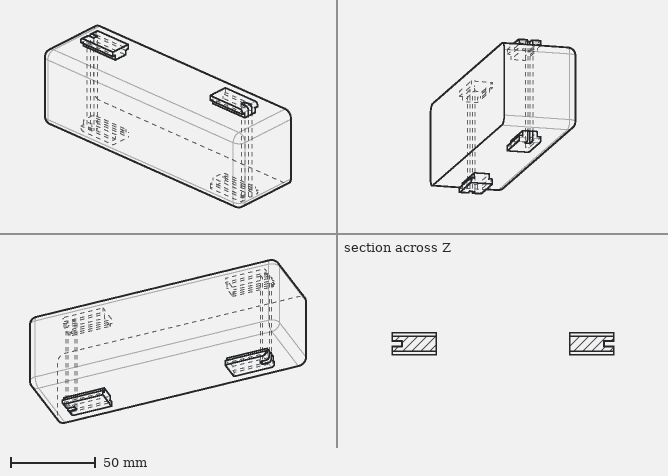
import cadquery as cq

body_length = 160.0
body_depth = 45.0
body_height = 50.0
body_round = 5.0

tab_length = 26.0
tab_height = 6.0
tab_end_inset = 14.5
tab_to_back = 20.0
head_width = 13.1
head_thickness = 3.0
neck_width = 9.0
head_end_round = 2.0

slot_width = 3.0
slot_length = 5.8

overall_height = body_height + 2 * tab_height
tab_center_y = body_depth / 2 - tab_to_back
tab_outer_x = body_length / 2 - tab_end_inset
tab_inner_x = tab_outer_x - tab_length


def make_body():
    block = cq.Workplane("XY").box(body_length, body_depth, body_height)
    return block.edges("not(>Y)").fillet(body_round)


def bar(width, bottom, thickness):
    """A bar as long as a tab, centred across it, at the +X end of the part."""
    return (
        cq.Workplane("XY", origin=(tab_inner_x, tab_center_y, bottom))
        .box(tab_length, width, thickness, centered=(False, True, False))
    )


def make_tab():
    """The upper tab at the +X end, with the top edge of its outer end rounded."""
    head_bottom = overall_height / 2 - head_thickness
    neck = bar(neck_width, body_height / 2, tab_height - head_thickness)
    head = bar(head_width, head_bottom, head_thickness)
    head = head.faces(">X").edges(">Z").fillet(head_end_round)
    return neck.union(head)


def make_slot():
    return (
        cq.Workplane("XY", origin=(tab_outer_x - slot_length / 2, tab_center_y, 0))
        .box(slot_length, slot_width, overall_height)
    )


def mirrored_pair(shape, plane):
    return shape.union(shape.mirror(plane))


tabs = mirrored_pair(mirrored_pair(make_tab(), "XY"), "YZ")
slots = mirrored_pair(make_slot(), "YZ")

result = make_body().union(tabs).cut(slots)